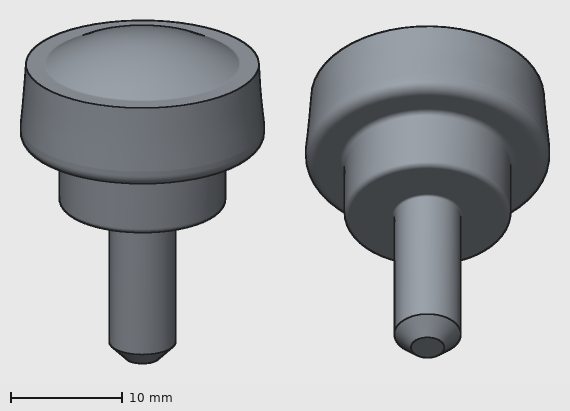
import cadquery as cq
import math

pin_radius = 3.0
pin_length = 15.0
pin_chamfer = 1.5
pin_fillet = 0.2

hub_radius = 7.5
hub_height = 6.0
hub_edge_radius = 0.5
neck_fillet = 0.5

head_radius = 10.98
head_top_radius = 10.5
head_height = 7.5
head_edge_radius = 1.0
head_band_height = 0.5

dome_base_radius = 8.75
dome_height = 2.5
dome_fillet = 0.5

hub_bottom = pin_length
head_bottom = hub_bottom + hub_height
band_bottom = head_bottom + head_edge_radius
band_top = band_bottom + head_band_height
head_top = head_bottom + head_height
apex = head_top + dome_height

dome_sphere_radius = (dome_base_radius**2 + dome_height**2) / (2 * dome_height)
dome_center_z = apex - dome_sphere_radius

fillet_center_z = head_top + dome_fillet
center_distance = dome_sphere_radius + dome_fillet
fillet_center_r = math.sqrt(center_distance**2 - (fillet_center_z - dome_center_z) ** 2)

dome_edge_angle = math.degrees(math.asin((fillet_center_z - dome_center_z) / center_distance))
fillet_start_angle = -90
fillet_end_angle = dome_edge_angle - 180

pin_fillet_center = (pin_radius + pin_fillet, hub_bottom - pin_fillet)
hub_edge_center = (hub_radius - hub_edge_radius, hub_bottom + hub_edge_radius)
neck_center = (hub_radius + neck_fillet, head_bottom - neck_fillet)
head_edge_center = (head_radius - head_edge_radius, band_bottom)
dome_fillet_center = (fillet_center_r, fillet_center_z)
dome_center = (0, dome_center_z)


def point_on_arc(center, radius, degrees):
    """Point (r, z) on a circle in the profile plane."""
    angle = math.radians(degrees)
    return (center[0] + radius * math.cos(angle), center[1] + radius * math.sin(angle))


def add_arc(profile, center, radius, start, end):
    """Continue the profile along a circle from its start angle to its end angle."""
    middle = (start + end) / 2
    return profile.threePointArc(
        point_on_arc(center, radius, middle),
        point_on_arc(center, radius, end),
    )


def add_pin(profile):
    """Chamfered tip and straight shank, filleted where it meets the hub."""
    profile = (
        profile.lineTo(pin_radius - pin_chamfer, 0)
        .lineTo(pin_radius, pin_chamfer)
        .lineTo(pin_radius, pin_fillet_center[1])
    )
    return add_arc(profile, pin_fillet_center, pin_fillet, 180, 90)


def add_hub(profile):
    """Cylinder with a rounded lower edge and a fillet under the head."""
    profile = profile.lineTo(hub_edge_center[0], hub_bottom)
    profile = add_arc(profile, hub_edge_center, hub_edge_radius, -90, 0)
    profile = profile.lineTo(hub_radius, neck_center[1])
    return add_arc(profile, neck_center, neck_fillet, 180, 90)


def add_head(profile):
    """Rounded lower edge, straight band and side tapering to the rim."""
    profile = profile.lineTo(head_edge_center[0], head_bottom)
    profile = add_arc(profile, head_edge_center, head_edge_radius, -90, 0)
    return profile.lineTo(head_radius, band_top).lineTo(head_top_radius, head_top)


def add_dome(profile):
    """Flat rim, blend and spherical dome up to the apex on the axis."""
    profile = profile.lineTo(fillet_center_r, head_top)
    profile = add_arc(
        profile, dome_fillet_center, dome_fillet, fillet_start_angle, fillet_end_angle
    )
    return add_arc(profile, dome_center, dome_sphere_radius, dome_edge_angle, 90)


half_section = cq.Workplane("XZ").moveTo(0, 0)
half_section = add_pin(half_section)
half_section = add_hub(half_section)
half_section = add_head(half_section)
half_section = add_dome(half_section)

result = half_section.close().revolve(360, (0, 0, 0), (0, 1, 0))